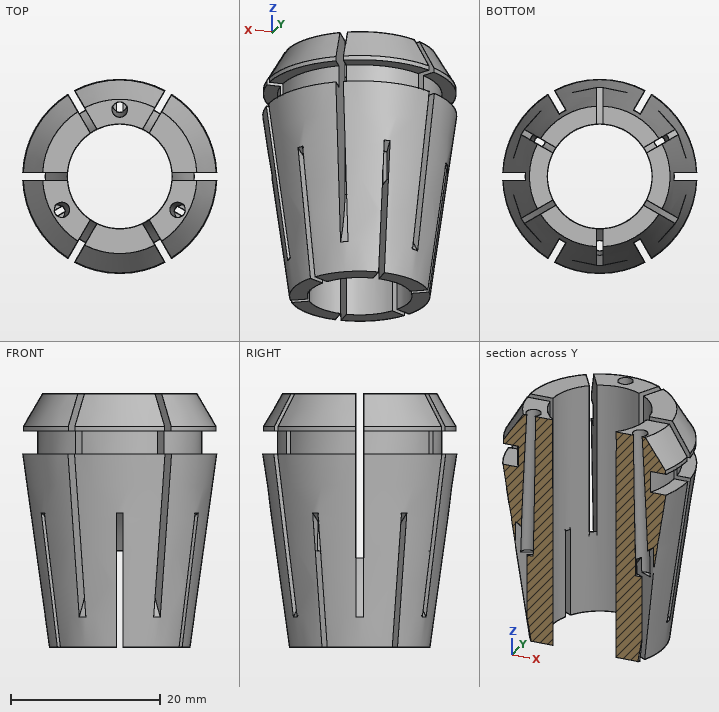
import cadquery as cq
import math

length = 34
bottom_radius = 9.42
body_top_radius = 13.005
body_top_z = 25.9
groove_radius = 11.0
groove_top_z = 28.97
lip_radius = 12.92
lip_top_z = 29.58
top_radius = 10.35
bore_radius = 7.0

slot_count = 6
slot_pitch = 360 / slot_count
cutter_radius = 19.72
upper_slot_width = 1.02
upper_slot_outer_z = 4.08
upper_slot_inner_z = 12.0
lower_slot_width = 0.8
lower_slot_outer_z = 18.02
lower_slot_inner_z = 12.92

hole_count = 3
hole_first_angle = 90
hole_radius = 1.02
hole_pitch_radius = 8.95
hole_bottom_z = 12.92
hole_outward_drift = 0.75

clearance = 0.68


def taper_radius(z):
    """Outside radius of the tapered body at height z."""
    return bottom_radius + (body_top_radius - bottom_radius) * z / body_top_z


def collet_body():
    return (
        cq.Workplane("XZ")
        .moveTo(bore_radius, 0)
        .lineTo(bottom_radius, 0)
        .lineTo(body_top_radius, body_top_z)
        .lineTo(groove_radius, body_top_z)
        .lineTo(groove_radius, groove_top_z)
        .lineTo(lip_radius, groove_top_z)
        .lineTo(lip_radius, lip_top_z)
        .lineTo(top_radius, length)
        .lineTo(bore_radius, length)
        .close()
        .revolve(360, (0, 0, 0), (0, 1, 0))
    )


def arc_middle(inner, outer, side):
    """Middle of the cutter arc; side is +1 to bulge upward and -1 to bulge downward."""
    run = outer[0] - inner[0]
    rise = outer[1] - inner[1]
    chord = math.hypot(run, rise)
    sagitta = cutter_radius - math.sqrt(cutter_radius**2 - (chord / 2) ** 2)
    return (
        (inner[0] + outer[0]) / 2 - side * sagitta * rise / chord,
        (inner[1] + outer[1]) / 2 + side * sagitta * run / chord,
    )


def slot_cutter(width, inner_z, outer_z, open_z, side):
    """Radial slot along +X, from its arc end to the open end at open_z."""
    near = bore_radius - clearance
    far = body_top_radius + clearance
    inner = (bore_radius, inner_z)
    outer = (taper_radius(outer_z), outer_z)
    return (
        cq.Workplane("XZ")
        .moveTo(near, open_z)
        .lineTo(near, inner_z)
        .lineTo(*inner)
        .threePointArc(arc_middle(inner, outer, side), outer)
        .lineTo(far, outer_z)
        .lineTo(far, open_z)
        .close()
        .extrude(width / 2, both=True)
    )


def hole_cutter():
    """Leaning hole along +X, centred on the pitch radius at the top face."""
    depth = length - hole_bottom_z
    slope = hole_outward_drift / depth
    start = (hole_pitch_radius - clearance * slope, 0, length + clearance)
    axis = cq.Vector(slope, 0, -1)
    tool_length = (depth + clearance) * axis.Length
    cylinder = cq.Solid.makeCylinder(hole_radius, tool_length, cq.Vector(*start), axis)
    return cq.Workplane(cylinder)


def about_z(shape, angle):
    return shape.rotate((0, 0, 0), (0, 0, 1), angle)


result = collet_body()

upper_slot = slot_cutter(upper_slot_width, upper_slot_inner_z, upper_slot_outer_z, length + clearance, -1)
lower_slot = slot_cutter(lower_slot_width, lower_slot_inner_z, lower_slot_outer_z, -clearance, 1)
for i in range(slot_count):
    result = result.cut(about_z(upper_slot, i * slot_pitch))
    result = result.cut(about_z(lower_slot, (i + 0.5) * slot_pitch))

for i in range(hole_count):
    result = result.cut(about_z(hole_cutter(), hole_first_angle + i * 360 / hole_count))